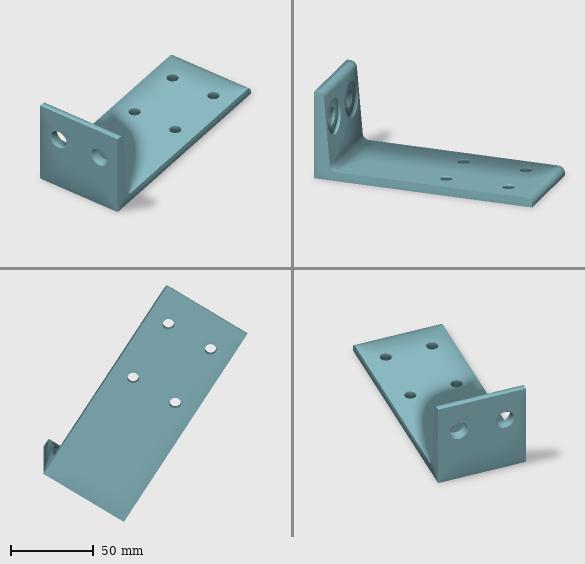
import cadquery as cq
import math

width = 57.0
length = 140.0
height = 56.0

base_thickness = 5.9
upright_tip_thickness = 6.0
taper_angle = 5.0
edge_radius = 4.0
corner_radius = 4.0

hole_spacing = 30.0
hole_chamfer = 0.49
base_hole_diameter = 7.0
base_hole_first = 80.0
base_hole_pitch = 40.0
upright_hole_diameter = 11.0
upright_hole_drop = 20.0
sink_diameter = 22.4
sink_floor = 6.3

hole_columns = [-hole_spacing / 2, hole_spacing / 2]


def angle_section():
    """Extruded L profile with rounded free edges and inner corner."""
    rise = height - base_thickness
    root_thickness = upright_tip_thickness + rise * math.tan(math.radians(taper_angle))
    outline = [
        (0, 0),
        (length, 0),
        (length, base_thickness),
        (root_thickness, base_thickness),
        (upright_tip_thickness, height),
        (0, height),
    ]
    body = cq.Workplane("YZ").polyline(outline).close().extrude(width / 2, both=True)

    def edge_at(y, z):
        return cq.selectors.NearestToPointSelector((0, y, z))

    body = body.edges("|X").edges(edge_at(length, base_thickness)).fillet(edge_radius)
    body = body.edges("|X").edges(edge_at(upright_tip_thickness, height)).fillet(edge_radius)
    return body.edges("|X").edges(edge_at(root_thickness, base_thickness)).fillet(corner_radius)


def chamfered_drills(plane, centers, diameter, depth):
    """Drills going into the material from a plane, widened at their mouths."""
    radius = diameter / 2
    half_profile = [
        (0, 0),
        (radius + hole_chamfer, 0),
        (radius, -hole_chamfer),
        (radius, -depth),
        (0, -depth),
    ]
    drill = cq.Workplane("XZ").polyline(half_profile).close().revolve(360, (0, 0), (0, 1)).val()
    return cq.Workplane(plane).pushPoints(centers).eachpoint(drill, useLocalCoordinates=True)


def base_holes():
    """Four through holes in the base leg, chamfered on its top face."""
    rows = [base_hole_first, base_hole_first + base_hole_pitch]
    centers = [(x, y) for x in hole_columns for y in rows]
    base_top = cq.Plane(origin=(0, 0, base_thickness), xDir=(1, 0, 0), normal=(0, 0, 1))
    return chamfered_drills(base_top, centers, base_hole_diameter, base_thickness)


def upright_holes():
    """Two through holes, chamfered outside and counterbored from the tapered inner face."""
    centers = [(x, height - upright_hole_drop) for x in hole_columns]
    drills = chamfered_drills(cq.Plane.named("XZ"), centers, upright_hole_diameter, sink_floor)
    sinks = (
        cq.Workplane("XZ", origin=(0, sink_floor, 0))
        .pushPoints(centers)
        .circle(sink_diameter / 2)
        .extrude(-length)
    )
    return drills.union(sinks)


result = angle_section().cut(base_holes()).cut(upright_holes())